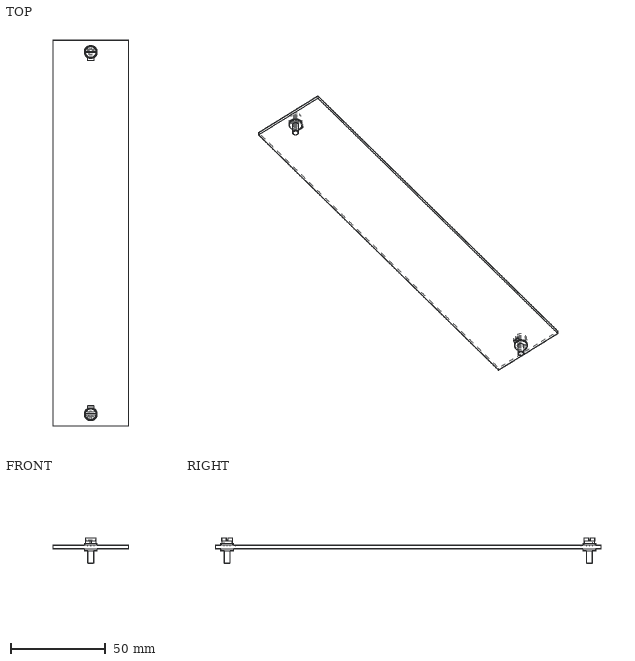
import cadquery as cq

plate_width = 40.0
plate_length = 203.7
plate_thickness = 2.0

screw_edge_distance = 6.25
screw_y = plate_length / 2 - screw_edge_distance

slot_width = 3.2
slot_inner_reach = 4.4
slot_outer_reach = slot_width / 2

washer_diameter = 6.8
washer_thickness = 0.8
spring_washer_diameter = 5.6
spring_washer_thickness = 1.3
spring_washer_gap = 0.8
head_diameter = 5.8
head_height = 1.8
head_fillet = 0.3
driver_slot_width = 0.7
driver_slot_depth = 1.2

retainer_thickness = 1.0
overall_height = 13.53
shank_diameter = 3.2
shank_chamfer = 0.3

spring_washer_base = washer_thickness
head_base = spring_washer_base + spring_washer_thickness
head_top = head_base + head_height
shank_bottom = head_top - overall_height


def disc(diameter, bottom, height):
    """Round disc on the Z axis, standing on the height Z = bottom."""
    return cq.Workplane("XY").workplane(offset=bottom).circle(diameter / 2).extrude(height)


def block(size_x, size_y, height, bottom):
    """Box centred on the Z axis, standing on the height Z = bottom."""
    box = cq.Workplane("XY").box(size_x, size_y, height, centered=(True, True, False))
    return box.translate((0, 0, bottom))


def make_plate():
    """Flat rectangular plate centred on the origin in X and Y."""
    return block(plate_width, plate_length, plate_thickness, -plate_thickness)


def make_slot():
    """Cutter for a screw on the Z axis, with the plate centre towards -Y."""
    slot_length = slot_inner_reach + slot_outer_reach
    middle_y = (slot_outer_reach - slot_inner_reach) / 2
    cutter = block(slot_width, slot_length, plate_thickness, -plate_thickness)
    return cutter.translate((0, middle_y, 0))


def make_spring_washer():
    """Ring split on the side facing the plate end (+Y)."""
    ring = disc(spring_washer_diameter, spring_washer_base, spring_washer_thickness)
    split = block(spring_washer_gap, spring_washer_diameter, spring_washer_thickness, spring_washer_base)
    split_y = (shank_diameter + spring_washer_diameter) / 2
    return ring.cut(split.translate((0, split_y, 0)))


def make_head():
    """Round head with a rounded top edge and a driver slot along X."""
    head = disc(head_diameter, head_base, head_height).faces(">Z").edges().fillet(head_fillet)
    driver_slot = block(head_diameter, driver_slot_width, driver_slot_depth, head_top - driver_slot_depth)
    return head.cut(driver_slot)


def make_screw():
    """Screw with its washers, on the Z axis."""
    washer = disc(washer_diameter, 0, washer_thickness)
    retainer = disc(washer_diameter, -plate_thickness - retainer_thickness, retainer_thickness)
    shank = disc(shank_diameter, shank_bottom, head_base - shank_bottom)
    shank = shank.faces("<Z").edges().chamfer(shank_chamfer)
    return shank.union(washer).union(retainer).union(make_spring_washer()).union(make_head())


def at_plate_end(shape, turn):
    """Move a shape from the origin to the +Y screw place, then turn it about Z."""
    return shape.translate((0, screw_y, 0)).rotate((0, 0, 0), (0, 0, 1), turn)


result = make_plate()
for end_turn in (0, 180):
    result = result.cut(at_plate_end(make_slot(), end_turn))
    result = result.union(at_plate_end(make_screw(), end_turn))